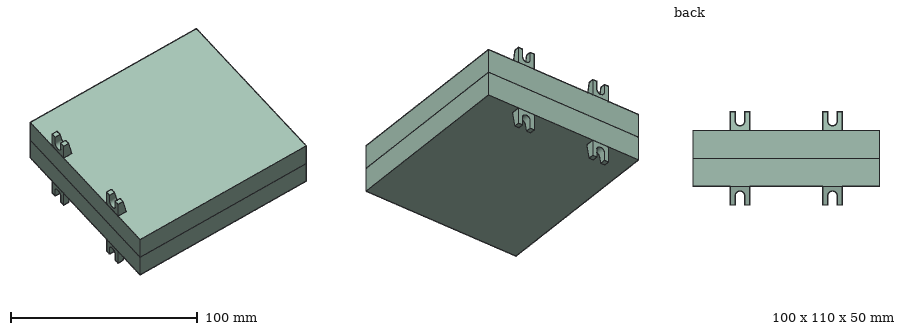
import cadquery as cq

housing_width = 100.0
housing_depth = 110.0
half_height = 15.0

lug_width = 10.5
lug_height = 10.0
lug_base_thickness = 5.4
lug_tip_thickness = 3.3
lug_spacing = 49.5

slot_width = 5.0
slot_floor_height = 2.5

slot_radius = slot_width / 2
front_y = -housing_depth / 2


def make_housing_half(side):
    """Plain block above (side = 1) or below (side = -1) the parting plane."""
    block = cq.Workplane("XY").box(housing_width, housing_depth, half_height)
    return block.translate((0, 0, side * half_height / 2))


def make_upper_lug(center_x):
    """Lug on the top face, tapered at the back, with a round-bottomed slot open at the tip."""
    base_z = half_height
    tip_z = base_z + lug_height
    wedge = (
        cq.Workplane("YZ", origin=(center_x, 0, 0))
        .moveTo(front_y, base_z)
        .lineTo(front_y + lug_base_thickness, base_z)
        .lineTo(front_y + lug_tip_thickness, tip_z)
        .lineTo(front_y, tip_z)
        .close()
        .extrude(lug_width / 2, both=True)
    )
    slot_floor_z = base_z + slot_floor_height
    arc_end_z = slot_floor_z + slot_radius
    slot = (
        cq.Workplane("XZ", origin=(center_x, front_y, 0))
        .moveTo(-slot_radius, tip_z)
        .lineTo(-slot_radius, arc_end_z)
        .threePointArc((0, slot_floor_z), (slot_radius, arc_end_z))
        .lineTo(slot_radius, tip_z)
        .close()
        .extrude(-lug_base_thickness)
    )
    return wedge.cut(slot)


upper_half = make_housing_half(1)
lower_half = make_housing_half(-1)

lugs = []
for center_x in (-lug_spacing / 2, lug_spacing / 2):
    upper_lug = make_upper_lug(center_x)
    lower_lug = upper_lug.mirror("XY")
    lugs.append(upper_lug.val())
    lugs.append(lower_lug.val())

result = cq.Compound.makeCompound([upper_half.val(), lower_half.val(), *lugs])